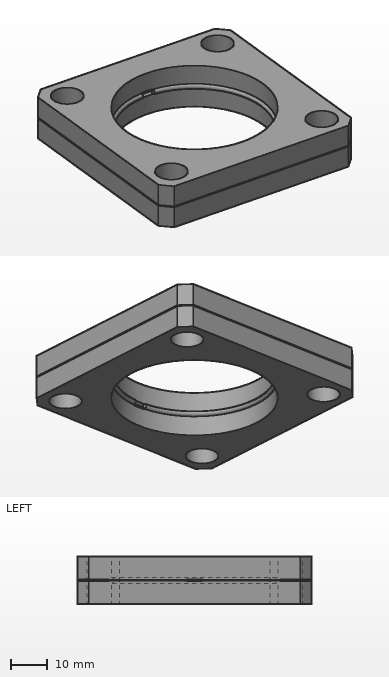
import cadquery as cq

side = 64.0
thickness = 13.0
plate_gap = 0.3
corner_chamfer = 3.1
plate_thickness = (thickness - plate_gap) / 2

bore_diameter = 45.45
bolt_hole_diameter = 8.95
bolt_spacing = 49.9

wire_radius = 0.8
ring_opening = 3.85


def make_plate(bottom):
    """Chamfered square plate with a central bore and four bolt holes."""
    return (
        cq.Workplane("XY")
        .workplane(offset=bottom)
        .rect(side, side)
        .extrude(plate_thickness)
        .edges("|Z")
        .chamfer(corner_chamfer)
        .faces(">Z")
        .workplane()
        .hole(bore_diameter)
        .faces(">Z")
        .workplane()
        .rect(bolt_spacing, bolt_spacing, forConstruction=True)
        .vertices()
        .hole(bolt_hole_diameter)
    )


def make_wire_ring():
    """Closed round wire ring at mid-height, centred on the bore wall."""
    return (
        cq.Workplane("XZ")
        .center(bore_diameter / 2, 0)
        .circle(wire_radius)
        .revolve(360, (-bore_diameter / 2, 0, 0), (-bore_diameter / 2, 1, 0))
    )


lower_plate = make_plate(-thickness / 2)
upper_plate = make_plate(plate_gap / 2)

wire_ring = make_wire_ring()
opening_cutter = cq.Workplane("XY").box(side, ring_opening, thickness)
split_ring = wire_ring.cut(opening_cutter)
seat_at_openings = wire_ring.intersect(opening_cutter)

result = lower_plate.union(upper_plate).union(split_ring).cut(seat_at_openings)